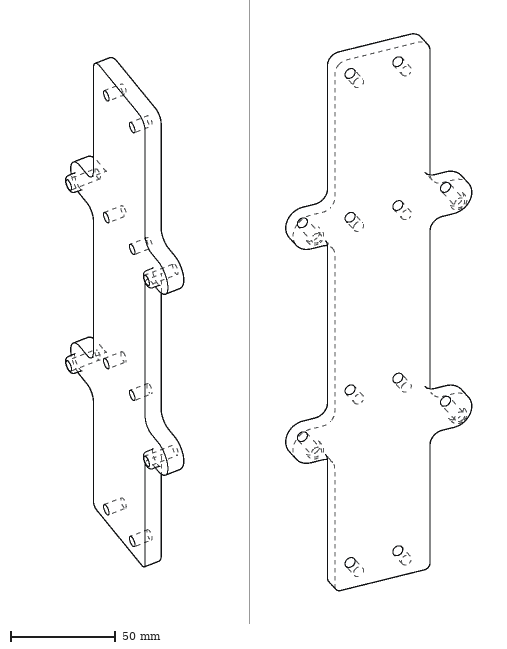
import cadquery as cq

plate_width = 50.8
plate_height = 297.61
plate_thickness = 9.525
top_corner_radius = 6.35
bottom_corner_radius = 3.175
edge_radius = 1.5875

ear_center_x = 38.1
ear_radius = 9.525
ear_root_radius = 6.35
upper_ear_z = 205.75
lower_ear_z = 85.5

spigot_length = 6.35
spigot_diameter = 8.76
spigot_bore = 5.33

hole_diameter = 5.33
hole_x = 12.7
hole_rows_z = [8.1, 105.2, 202.2, 283.1]

ear_rows_z = [lower_ear_z, upper_ear_z]
ear_centers = [(side * ear_center_x, z) for z in ear_rows_z for side in (-1, 1)]
hole_centers = [(side * hole_x, z) for z in hole_rows_z for side in (-1, 1)]


def front_plane(y=0.0):
    """Plane parallel to XZ at depth y, with its normal pointing to -Y."""
    return cq.Workplane("XZ", origin=(0, y, 0))


def make_plate():
    """Rectangular plate with rounded top and bottom corners."""
    plate = (
        front_plane()
        .center(0, plate_height / 2)
        .rect(plate_width, plate_height)
        .extrude(-plate_thickness)
    )
    plate = plate.edges("|Y and >Z").fillet(top_corner_radius)
    return plate.edges("|Y and <Z").fillet(bottom_corner_radius)


def add_ears(plate):
    """Round-ended ears, blended into the plate sides and rounded along the back edge."""
    bar_length = 2 * (ear_center_x + ear_radius)
    ears = (
        front_plane()
        .pushPoints([(0, z) for z in ear_rows_z])
        .slot2D(bar_length, 2 * ear_radius)
        .extrude(-plate_thickness)
    )
    body = plate.union(ears)
    for z in ear_rows_z:
        for x in (-plate_width / 2, plate_width / 2):
            for root_z in (z - ear_radius, z + ear_radius):
                corner = cq.selectors.NearestToPointSelector((x, plate_thickness / 2, root_z))
                body = body.edges("|Y").edges(corner).fillet(ear_root_radius)
    return body.faces(">Y").edges().fillet(edge_radius)


def make_spigot():
    """Spigot turned about its own axis: concave root fillet, straight pin, rounded tip."""
    pin_radius = spigot_diameter / 2
    tip_flat_radius = pin_radius - edge_radius
    return (
        cq.Workplane("XY")
        .moveTo(0, 0)
        .lineTo(pin_radius + edge_radius, 0)
        .radiusArc((pin_radius, -edge_radius), -edge_radius)
        .lineTo(pin_radius, edge_radius - spigot_length)
        .tangentArcPoint((tip_flat_radius, -spigot_length), relative=False)
        .lineTo(0, -spigot_length)
        .close()
        .revolve(360, (0, 0, 0), (0, 1, 0))
    )


def cut_through(body, centers, diameter):
    """Drill straight through the plate and anything in front of it."""
    drills = (
        front_plane(-spigot_length)
        .pushPoints(centers)
        .circle(diameter / 2)
        .extrude(-(plate_thickness + spigot_length))
    )
    return body.cut(drills)


result = add_ears(make_plate())
for x, z in ear_centers:
    result = result.union(make_spigot().translate((x, 0, z)))
result = cut_through(result, ear_centers, spigot_bore)
result = cut_through(result, hole_centers, hole_diameter)